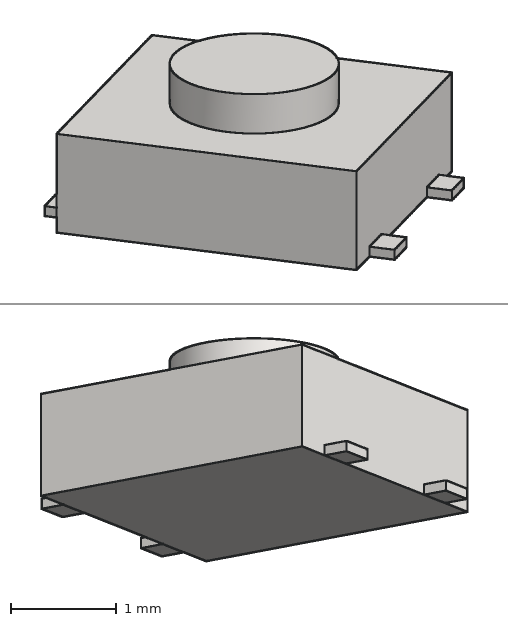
import cadquery as cq

overall_length = 3.5
housing_length = 3.0
housing_width = 2.75
housing_height = 1.0
overall_height = 1.4

button_diameter = 1.6
button_height = overall_height - housing_height

terminal_length = (overall_length - housing_length) / 2
terminal_width = 0.35
terminal_thickness = 0.1
terminal_pitch = 1.652


def make_housing():
    """Rectangular switch housing standing on Z = 0."""
    return cq.Workplane("XY").box(
        housing_length, housing_width, housing_height, centered=(True, True, False)
    )


def make_button():
    """Round push button resting on the housing's top face."""
    return (
        cq.Workplane("XY")
        .workplane(offset=housing_height)
        .circle(button_diameter / 2)
        .extrude(button_height)
    )


def make_terminal(x_side, y_side):
    """Flat terminal butted against one end of the housing, flush with its underside."""
    center_x = x_side * (housing_length + terminal_length) / 2
    center_y = y_side * terminal_pitch / 2
    return (
        cq.Workplane("XY")
        .box(terminal_length, terminal_width, terminal_thickness, centered=(True, True, False))
        .translate((center_x, center_y, 0))
    )


housing = make_housing()
button = make_button()
terminals = [make_terminal(x_side, y_side) for x_side in (-1, 1) for y_side in (-1, 1)]

result = cq.Compound.makeCompound(
    [housing.val(), button.val(), *[terminal.val() for terminal in terminals]]
)